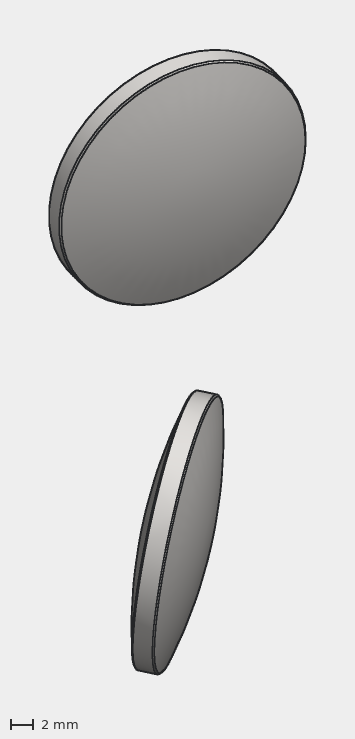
import cadquery as cq

diameter = 25.4
centre_thickness = 5.7
rim_width = 1.78
bevel = 0.15

radius = diameter / 2
face_radius = radius - bevel
half_centre = centre_thickness / 2
half_rim = rim_width / 2
half_edge = half_rim + bevel

sag = half_centre - half_edge
sphere_radius = (face_radius**2 + sag**2) / (2 * sag)

mid_radius = face_radius / 2
mid_x = half_centre - sphere_radius + (sphere_radius**2 - mid_radius**2) ** 0.5

profile = (
    cq.Workplane("XY")
    .moveTo(-half_centre, 0)
    .threePointArc((-mid_x, mid_radius), (-half_edge, face_radius))
    .lineTo(-half_rim, radius)
    .lineTo(half_rim, radius)
    .lineTo(half_edge, face_radius)
    .threePointArc((mid_x, mid_radius), (half_centre, 0))
    .close()
)

result = profile.revolve(360, (0, 0, 0), (1, 0, 0))